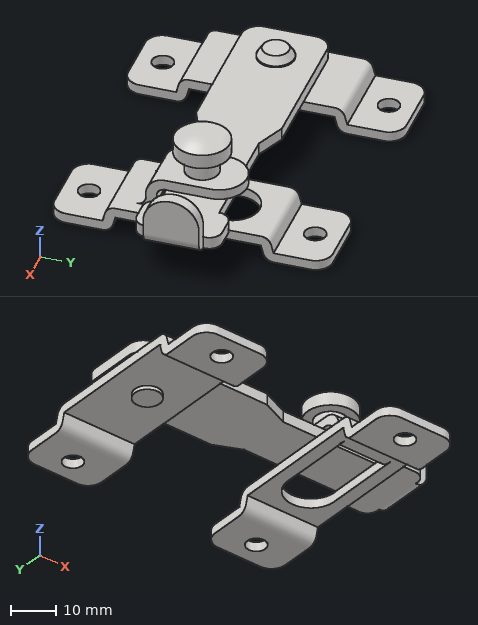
import cadquery as cq
import math

plate_width = 20.0
plate_length = 65.0
plate_thickness = 2.5
plate_height = 6.5
plate_corner_radius = 4.0
plate_half_length = plate_length / 2
plate_underside = plate_height - plate_thickness
plate_bend_y = 17.0
plate_leg_angle = math.radians(15)
screw_hole_diameter = 5.0
screw_hole_y = 26.4
pivot_plate_x = plate_width / 2
keeper_plate_x = 62.0

tongue_width = 13.0
tongue_top = 14.0
tongue_tip_y = 10.5
tongue_foot_y = -13.0
tongue_inner_radius = 2.0
tongue_outer_radius = tongue_inner_radius + plate_thickness
window_end_y = 13.4

lever_gap = 0.5
lever_thickness = 3.0
lever_width = 20.0
lever_corner_radius = 4.0
lever_bottom = plate_height + lever_gap
lever_top = lever_bottom + lever_thickness
overall_length = 84.0
taper_start_x = 35.95
taper_end_x = 43.0
head_length = 10.0
head_corner_radius = 3.0
head_end_x = overall_length - lever_thickness
head_start_x = head_end_x - head_length
lever_half_width = lever_width / 2
neck_half_width = lever_half_width - head_corner_radius
tab_width = 13.0
tab_top = 20.0

rivet_shaft_diameter = 5.0
rivet_tail_diameter = 7.0
rivet_tail_height = 1.0
rivet_head_diameter = 8.7
rivet_crown_diameter = 6.2
rivet_rim_height = 0.3
rivet_head_height = 2.3

knob_top = 25.0
knob_dome_height = 2.5
knob_cap_height = 3.5
knob_cap_diameter = 13.0
knob_shank_diameter = 8.0


def along_x(profile, center_x, width):
    """Extrude a profile drawn in (Y, Z) symmetrically about center_x."""
    return profile.extrude(width / 2, both=True).translate((center_x, 0, 0))


def upright_cylinder(center_x, center_y, diameter, bottom, top):
    return (
        cq.Workplane("XY", origin=(center_x, center_y, bottom))
        .circle(diameter / 2)
        .extrude(top - bottom)
    )


def arc_middle(center, radius, start_angle, end_angle):
    """Point halfway along an arc."""
    angle = (start_angle + end_angle) / 2
    return (center[0] + radius * math.cos(angle), center[1] + radius * math.sin(angle))


def plate_half_profile():
    """Half of the offset strip (Y >= 0); each bend is sharp inside and round outside."""
    bend_drop = plate_underside - plate_thickness
    bend_run = (plate_thickness + bend_drop * math.sin(plate_leg_angle)) / math.cos(plate_leg_angle)
    upper_bend = (plate_bend_y, plate_underside)
    lower_bend = (plate_bend_y + bend_run, plate_thickness)
    normal_y = plate_thickness * math.cos(plate_leg_angle)
    normal_z = plate_thickness * math.sin(plate_leg_angle)
    upper_mid = arc_middle(upper_bend, plate_thickness, math.pi / 2, plate_leg_angle)
    lower_mid = arc_middle(lower_bend, plate_thickness, 1.5 * math.pi, math.pi + plate_leg_angle)
    return (
        cq.Workplane("YZ")
        .moveTo(0, plate_underside)
        .lineTo(0, plate_height)
        .lineTo(plate_bend_y, plate_height)
        .threePointArc(upper_mid, (upper_bend[0] + normal_y, upper_bend[1] + normal_z))
        .lineTo(*lower_bend)
        .lineTo(plate_half_length, plate_thickness)
        .lineTo(plate_half_length, 0)
        .lineTo(lower_bend[0], 0)
        .threePointArc(lower_mid, (lower_bend[0] - normal_y, lower_bend[1] - normal_z))
        .lineTo(*upper_bend)
        .close()
    )


def make_plate(center_x):
    """Offset mounting strip with rounded corners and a screw hole in each foot."""
    half = along_x(plate_half_profile(), center_x, plate_width)
    plate = half.union(half.mirror("XZ"))
    outline = (
        cq.Workplane("XY", origin=(center_x, 0, 0))
        .rect(plate_width, plate_length)
        .extrude(plate_height)
        .edges("|Z")
        .fillet(plate_corner_radius)
    )
    plate = plate.intersect(outline)
    for hole_y in (-screw_hole_y, screw_hole_y):
        plate = plate.cut(upright_cylinder(center_x, hole_y, screw_hole_diameter, 0, plate_thickness))
    return plate


def make_pivot_plate():
    bore = upright_cylinder(pivot_plate_x, 0, rivet_shaft_diameter, plate_underside, plate_height)
    return make_plate(pivot_plate_x).cut(bore)


def round_ended_slot(end_y, bottom, top):
    """Tongue-wide block from the foot to a full-round end at end_y."""
    straight_end_y = end_y - tongue_width / 2
    block = (
        cq.Workplane("XY", origin=(keeper_plate_x, (tongue_foot_y + straight_end_y) / 2, bottom))
        .rect(tongue_width, straight_end_y - tongue_foot_y)
        .extrude(top - bottom)
    )
    return block.union(upright_cylinder(keeper_plate_x, straight_end_y, tongue_width, bottom, top))


def make_tongue():
    """S-bent strip rising from the plate and running back over the lever."""
    inner = tongue_inner_radius
    outer = tongue_outer_radius
    foot_center = (tongue_foot_y, plate_height + inner)
    top_center = (tongue_foot_y + inner + outer, tongue_top - outer)
    outer_face_y = tongue_foot_y + inner
    inner_face_y = outer_face_y + plate_thickness
    profile = (
        cq.Workplane("YZ")
        .moveTo(tongue_foot_y, plate_height)
        .threePointArc(arc_middle(foot_center, inner, -math.pi / 2, 0), (outer_face_y, foot_center[1]))
        .lineTo(outer_face_y, top_center[1])
        .threePointArc(arc_middle(top_center, outer, math.pi, math.pi / 2), (top_center[0], tongue_top))
        .lineTo(tongue_tip_y, tongue_top)
        .lineTo(tongue_tip_y, tongue_top - plate_thickness)
        .lineTo(top_center[0], tongue_top - plate_thickness)
        .threePointArc(arc_middle(top_center, inner, math.pi / 2, math.pi), (inner_face_y, top_center[1]))
        .lineTo(inner_face_y, foot_center[1])
        .threePointArc(arc_middle(foot_center, outer, 0, -math.pi / 2), (tongue_foot_y, plate_underside))
        .close()
    )
    strip = along_x(profile, keeper_plate_x, tongue_width)
    return strip.intersect(round_ended_slot(tongue_tip_y, plate_underside, tongue_top))


def make_keeper_plate():
    window = round_ended_slot(window_end_y, plate_underside, plate_height)
    return make_plate(keeper_plate_x).cut(window).union(make_tongue())


def make_finger_tab():
    """Round-topped tab bent up from the lever head, sharp inside and round outside."""
    bend_radius = lever_thickness
    bend_mid = arc_middle((head_end_x, lever_top), bend_radius, -math.pi / 2, 0)
    strip = (
        cq.Workplane("XZ")
        .moveTo(head_end_x, lever_bottom)
        .threePointArc(bend_mid, (overall_length, lever_top))
        .lineTo(overall_length, tab_top)
        .lineTo(head_end_x, tab_top)
        .close()
        .extrude(tab_width / 2, both=True)
    )
    half_width = tab_width / 2
    round_center_z = tab_top - half_width
    outline = (
        cq.Workplane("YZ", origin=(head_end_x, 0, 0))
        .moveTo(-half_width, lever_bottom)
        .lineTo(half_width, lever_bottom)
        .lineTo(half_width, round_center_z)
        .threePointArc((0, tab_top), (-half_width, round_center_z))
        .close()
        .extrude(lever_thickness)
    )
    return strip.intersect(outline)


def make_lever_blade():
    """Flat blade: wide at the pivot, tapering to a neck, with a full-width head."""
    body = (
        cq.Workplane("XY", origin=(0, 0, lever_bottom))
        .moveTo(0, -lever_half_width)
        .lineTo(taper_start_x, -lever_half_width)
        .lineTo(taper_end_x, -neck_half_width)
        .lineTo(head_start_x + head_corner_radius, -neck_half_width)
        .lineTo(head_start_x + head_corner_radius, neck_half_width)
        .lineTo(taper_end_x, neck_half_width)
        .lineTo(taper_start_x, lever_half_width)
        .lineTo(0, lever_half_width)
        .close()
        .extrude(lever_thickness)
        .edges("|Z and <X")
        .fillet(lever_corner_radius)
    )
    head = (
        cq.Workplane("XY", origin=(head_start_x + head_length / 2, 0, lever_bottom))
        .rect(head_length, lever_width)
        .extrude(lever_thickness)
        .edges("|Z")
        .fillet(head_corner_radius)
    )
    return body.union(head)


def make_lever():
    bore = upright_cylinder(pivot_plate_x, 0, rivet_shaft_diameter, lever_bottom, lever_top)
    return make_lever_blade().union(make_finger_tab()).cut(bore)


def make_rivet():
    """Shaft through plate and lever, with a flat tail below and a conical head above."""
    shaft_radius = rivet_shaft_diameter / 2
    tail_radius = rivet_tail_diameter / 2
    head_radius = rivet_head_diameter / 2
    head_top = lever_top + rivet_head_height
    return (
        cq.Workplane("XZ")
        .moveTo(0, plate_underside - rivet_tail_height)
        .lineTo(tail_radius, plate_underside - rivet_tail_height)
        .lineTo(tail_radius, plate_underside)
        .lineTo(shaft_radius, plate_underside)
        .lineTo(shaft_radius, lever_top)
        .lineTo(head_radius, lever_top)
        .lineTo(head_radius, lever_top + rivet_rim_height)
        .lineTo(rivet_crown_diameter / 2, head_top)
        .lineTo(0, head_top)
        .close()
        .revolve(360, (0, 0), (0, 1))
        .translate((pivot_plate_x, 0, 0))
    )


def make_knob():
    """Shank, cylindrical cap and spherical dome."""
    cap_radius = knob_cap_diameter / 2
    shank_radius = knob_shank_diameter / 2
    dome_base = knob_top - knob_dome_height
    cap_bottom = dome_base - knob_cap_height
    dome_radius = (cap_radius**2 + knob_dome_height**2) / (2 * knob_dome_height)
    dome_center = (0, knob_top - dome_radius)
    rim_angle = math.asin((dome_base - dome_center[1]) / dome_radius)
    dome_mid = arc_middle(dome_center, dome_radius, rim_angle, math.pi / 2)
    return (
        cq.Workplane("XZ")
        .moveTo(0, tongue_top)
        .lineTo(shank_radius, tongue_top)
        .lineTo(shank_radius, cap_bottom)
        .lineTo(cap_radius, cap_bottom)
        .lineTo(cap_radius, dome_base)
        .threePointArc(dome_mid, (0, knob_top))
        .close()
        .revolve(360, (0, 0), (0, 1))
        .translate((keeper_plate_x, 0, 0))
    )


pivot_plate = make_pivot_plate().solids()
keeper_plate = make_keeper_plate().solids()
lever = make_lever().solids()
rivet = make_rivet()
knob = make_knob()

result = cq.Compound.makeCompound(
    [pivot_plate.val(), keeper_plate.val(), lever.val(), rivet.val(), knob.val()]
)